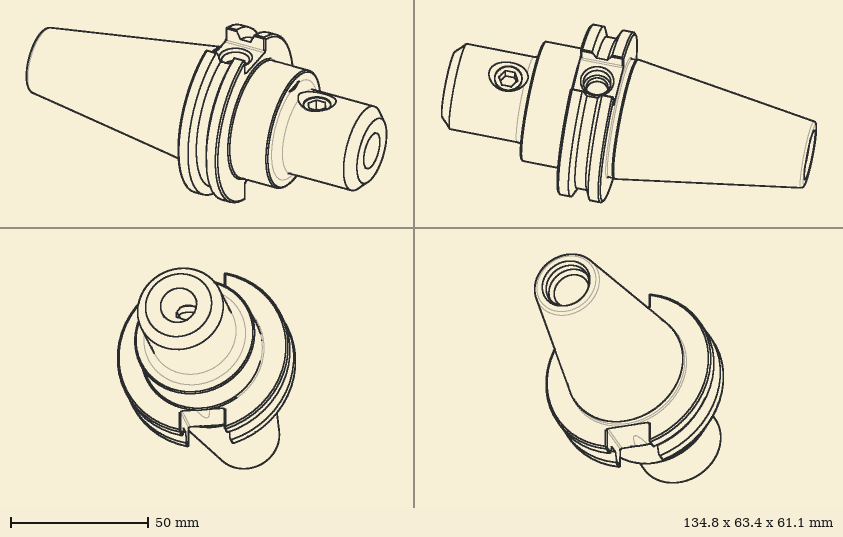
import cadquery as cq
import math

overall_length = 134.8
taper_end = 68.3
flange_start = 71.3
flange_end = 87.5
shoulder_end = 103.3

gauge_diameter = 44.5
taper_rate = 7 / 24
small_end_diameter = gauge_diameter - taper_rate * taper_end
small_end_fillet = 1.1
relief_diameter = 44.0
relief_step_length = 0.5

flange_diameter = 63.4
flange_chamfer = 0.7
flange_middle = (flange_start + flange_end) / 2
groove_root_diameter = 56.5
groove_root_width = 4.0
groove_mouth_width = 7.4
flange_root_fillet = 0.5

slot_width = 16.2
slot_floor_top = 24.5
slot_floor_bottom = 22.6
slot_corner_fillet = 0.5
slot_edge_chamfer = 0.5

shoulder_diameter = gauge_diameter
shoulder_chamfer = 0.5
nose_diameter = 31.8
nose_root_fillet = 3.0
nose_chamfer = 3.6

bore_diameter = 13.3
pilot_diameter = 16.5
pilot_mouth_diameter = 18.3
pilot_mouth_length = 1.6
pilot_depth = 4.9
pilot_seat_length = 1.3

blind_mouth_diameter = 12.1
blind_diameter = 10.1
blind_depth = 4.7
blind_pilot_diameter = 8.0
blind_pilot_depth = 2.7
blind_cone_depth = 2.3

screw_x = 112.5
screw_diameter = 10.0
screw_tip_diameter = 8.0
screw_tip_length = 2.0
screw_bottom = 4.3
screw_top = 13.3
screw_countersink_diameter = 14.3
hex_across_flats = 6.0
hex_depth = 4.0


def cone_z(lower_diameter, upper_diameter, lower_z, upper_z):
    """Truncated cone about the Z axis; a zero lower diameter gives a pointed tip."""
    points = [(0, lower_z), (lower_diameter / 2, lower_z), (upper_diameter / 2, upper_z), (0, upper_z)]
    if lower_diameter == 0:
        points.pop(0)
    return cq.Workplane("XZ").polyline(points).close().revolve(360, (0, 0, 0), (0, 1, 0))


def cylinder_z(diameter, lower_z, upper_z):
    """Cylinder about the Z axis."""
    return cq.Workplane("XY", origin=(0, 0, lower_z)).circle(diameter / 2).extrude(upper_z - lower_z)


def turned_body():
    """Taper, shoulder and nose, with the rounded small end."""
    gauge_radius = gauge_diameter / 2
    relief_radius = relief_diameter / 2
    shoulder_radius = shoulder_diameter / 2
    nose_radius = nose_diameter / 2
    root_gap = flange_root_fillet * (1 - math.sqrt(0.5))
    fillet_center = (shoulder_end + nose_root_fillet, nose_radius + nose_root_fillet)
    fillet_reach = nose_root_fillet * math.sqrt(0.5)
    body = (
        cq.Workplane("XY")
        .lineTo(0, small_end_diameter / 2)
        .lineTo(taper_end, gauge_radius)
        .lineTo(taper_end + relief_step_length, relief_radius)
        .lineTo(flange_start - flange_root_fillet, relief_radius)
        .threePointArc(
            (flange_start - root_gap, relief_radius + root_gap),
            (flange_start, relief_radius + flange_root_fillet),
        )
        .lineTo(flange_end, shoulder_radius + flange_root_fillet)
        .threePointArc(
            (flange_end + root_gap, shoulder_radius + root_gap),
            (flange_end + flange_root_fillet, shoulder_radius),
        )
        .lineTo(shoulder_end - shoulder_chamfer, shoulder_radius)
        .lineTo(shoulder_end, shoulder_radius - shoulder_chamfer)
        .lineTo(shoulder_end, fillet_center[1])
        .threePointArc(
            (fillet_center[0] - fillet_reach, fillet_center[1] - fillet_reach),
            (fillet_center[0], nose_radius),
        )
        .lineTo(overall_length - nose_chamfer, nose_radius)
        .lineTo(overall_length, nose_radius - nose_chamfer)
        .lineTo(overall_length, 0)
        .close()
        .revolve(360, (0, 0, 0), (1, 0, 0))
    )
    return body.faces("<X").edges().fillet(small_end_fillet)


def chamfered_slot():
    """Slot with its floor at z = 0: rounded floor corners and chamfered wall ends."""
    half_length = (flange_end - flange_start) / 2
    half_width = slot_width / 2
    flared_half_width = half_width + slot_edge_chamfer
    slot_height = flange_diameter / 2
    slot = cq.Workplane("XY").box(2 * half_length, slot_width, slot_height, centered=(True, True, False))
    slot = slot.faces("<Z").edges("|X").fillet(slot_corner_fillet)

    for end in (-1, 1):
        wall_end_chamfer = (
            cq.Workplane("XY", origin=(0, 0, slot_corner_fillet))
            .moveTo(end * half_length, flared_half_width)
            .lineTo(end * (half_length - slot_edge_chamfer), half_width)
            .lineTo(end * (half_length - slot_edge_chamfer), -half_width)
            .lineTo(end * half_length, -flared_half_width)
            .close()
            .extrude(slot_height)
        )
        slot = slot.union(wall_end_chamfer)
    return slot


def slot_rim_chamfer(floor_height):
    """Wedge that chamfers the land edges of a slot where its walls run out at the rim."""
    half_width = slot_width / 2
    wall_top = math.sqrt((flange_diameter / 2) ** 2 - half_width**2) - floor_height
    wedge_bottom = wall_top - slot_edge_chamfer
    return (
        cq.Workplane("YZ")
        .moveTo(-half_width, wedge_bottom)
        .lineTo(half_width, wedge_bottom)
        .lineTo(half_width + 2 * slot_edge_chamfer, wedge_bottom + 2 * slot_edge_chamfer)
        .lineTo(-half_width - 2 * slot_edge_chamfer, wedge_bottom + 2 * slot_edge_chamfer)
        .close()
        .extrude((flange_end - flange_start) / 2, both=True)
    )


def slot_cutter(floor_height):
    """Complete top slot at its place on the flange."""
    slot = chamfered_slot().union(slot_rim_chamfer(floor_height))
    return slot.translate((flange_middle, 0, floor_height))


def flange():
    """Grooved flange ring with both drive slots cut across it."""
    rim_radius = flange_diameter / 2
    root_radius = groove_root_diameter / 2
    ring = (
        cq.Workplane("XY")
        .moveTo(flange_start, 0)
        .lineTo(flange_start, rim_radius - flange_chamfer)
        .lineTo(flange_start + flange_chamfer, rim_radius)
        .lineTo(flange_middle - groove_mouth_width / 2, rim_radius)
        .lineTo(flange_middle - groove_root_width / 2, root_radius)
        .lineTo(flange_middle + groove_root_width / 2, root_radius)
        .lineTo(flange_middle + groove_mouth_width / 2, rim_radius)
        .lineTo(flange_end - flange_chamfer, rim_radius)
        .lineTo(flange_end, rim_radius - flange_chamfer)
        .lineTo(flange_end, 0)
        .close()
        .revolve(360, (0, 0, 0), (1, 0, 0))
    )
    top_slot = slot_cutter(slot_floor_top)
    bottom_slot = slot_cutter(slot_floor_bottom).rotate((0, 0, 0), (1, 0, 0), 180)
    return ring.cut(top_slot).cut(bottom_slot)


def central_bore():
    """Through bore with a flared pilot recess at the small end."""
    return (
        cq.Workplane("XY")
        .lineTo(0, pilot_mouth_diameter / 2)
        .lineTo(pilot_mouth_length, pilot_diameter / 2)
        .lineTo(pilot_depth, pilot_diameter / 2)
        .lineTo(pilot_depth + pilot_seat_length, bore_diameter / 2)
        .lineTo(overall_length, bore_diameter / 2)
        .lineTo(overall_length, 0)
        .close()
        .revolve(360, (0, 0, 0), (1, 0, 0))
    )


def blind_hole():
    """Chamfered, stepped hole with a pointed bottom."""
    step_z = slot_floor_top - blind_depth
    cone_top = step_z - blind_pilot_depth
    mouth_chamfer = (blind_mouth_diameter - blind_diameter) / 2
    hole = cylinder_z(blind_diameter, step_z, slot_floor_top)
    hole = hole.union(
        cone_z(blind_diameter, blind_mouth_diameter, slot_floor_top - mouth_chamfer, slot_floor_top)
    )
    hole = hole.union(cylinder_z(blind_pilot_diameter, cone_top, step_z))
    hole = hole.union(cone_z(0, blind_pilot_diameter, cone_top - blind_cone_depth, cone_top))
    return hole.translate((flange_middle, 0, 0))


def screw_hole():
    """Hole from the bore out through the nose, with a 45 degree countersink."""
    nose_top = nose_diameter / 2
    countersink_depth = (screw_countersink_diameter - screw_diameter) / 2
    countersink_bottom = nose_top - countersink_depth
    cone_top = nose_top + nose_root_fillet
    cone_top_diameter = screw_countersink_diameter + 2 * nose_root_fillet
    hole = cylinder_z(screw_diameter, 0, cone_top)
    hole = hole.union(cone_z(screw_diameter, cone_top_diameter, countersink_bottom, cone_top))
    return hole.translate((screw_x, 0, 0))


def make_holder():
    """Tool holder: everything except the clamping screw."""
    holder = turned_body().union(flange())
    for cutter in (central_bore(), blind_hole(), screw_hole()):
        holder = holder.cut(cutter)
    return holder


def make_screw():
    """Clamping screw with a tapered tip and a hexagon socket."""
    hex_across_corners = hex_across_flats / math.cos(math.pi / 6)
    tip_top = screw_bottom + screw_tip_length
    screw = cone_z(screw_tip_diameter, screw_diameter, screw_bottom, tip_top)
    screw = screw.union(cylinder_z(screw_diameter, tip_top, screw_top))
    socket = (
        cq.Workplane("XY", origin=(0, 0, screw_top))
        .polygon(6, hex_across_corners)
        .extrude(-hex_depth)
    )
    return screw.cut(socket).translate((screw_x, 0, 0))


holder = make_holder()
screw = make_screw()

result = cq.Compound.makeCompound([holder.val(), screw.val()])